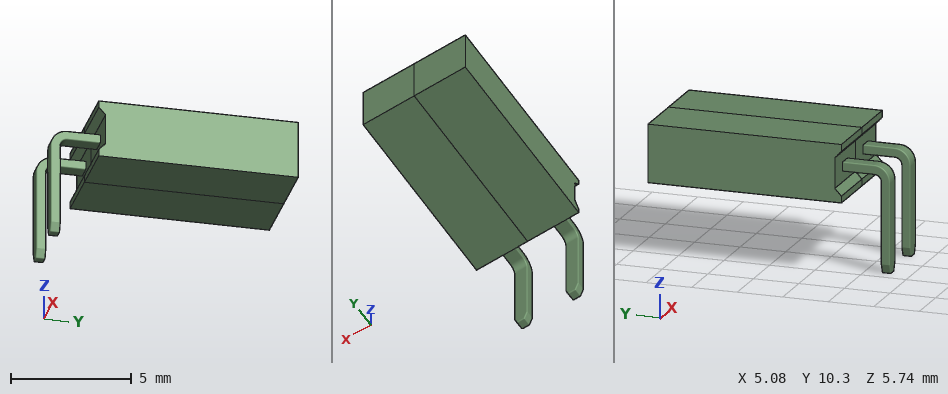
import cadquery as cq

total_width = 5.08
total_length = 10.3
total_height = 5.74

module_count = 2
module_pitch = total_width / module_count
housing_length = 8.5
housing_height = module_pitch

lip_height = 0.3
trough_depth = 0.29
trough_flank_height = 0.31

pin_width = 0.66
pin_thickness = 0.4
bend_outer_radius = 0.7
tip_width = 0.37
tip_length = 0.4
pin_edge_radius = 0.05

pin_reach = total_length - housing_length
pin_leg_y = -pin_reach + pin_thickness / 2
pin_bottom_z = housing_height / 2 - total_height
taper_top_z = pin_bottom_z + tip_length
bend_radius = bend_outer_radius - pin_thickness / 2


def make_housing():
    """Long block with a flat-bottomed, slant-sided trough across its front."""
    half_height = housing_height / 2
    trough_edge_z = half_height - lip_height
    trough_floor_z = trough_edge_z - trough_flank_height
    return (
        cq.Workplane("YZ")
        .moveTo(housing_length, -half_height)
        .lineTo(housing_length, half_height)
        .lineTo(0, half_height)
        .lineTo(0, trough_edge_z)
        .lineTo(trough_depth, trough_floor_z)
        .lineTo(trough_depth, -trough_floor_z)
        .lineTo(0, -trough_edge_z)
        .lineTo(0, -half_height)
        .close()
        .extrude(module_pitch / 2, both=True)
    )


def make_pin_shank():
    """Straight entry, bend and straight leg, swept from the trough floor to the taper."""
    path = (
        cq.Workplane("YZ")
        .moveTo(trough_depth, 0)
        .lineTo(pin_leg_y + bend_radius, 0)
        .tangentArcPoint((pin_leg_y, -bend_radius), relative=False)
        .lineTo(pin_leg_y, taper_top_z)
    )
    return (
        cq.Workplane("XZ", origin=(0, trough_depth, 0))
        .rect(pin_width, pin_thickness)
        .sweep(path)
    )


def make_pin_tip():
    """Tip that narrows in width only."""
    return (
        cq.Workplane("XY", origin=(0, pin_leg_y, taper_top_z))
        .rect(pin_width, pin_thickness)
        .workplane(offset=-tip_length)
        .rect(tip_width, pin_thickness)
        .loft(ruled=True)
    )


def make_pin():
    """Bent pin with every edge rounded except those of its root at the trough floor."""
    pin = make_pin_shank().union(make_pin_tip())
    return pin.edges("not >Y").fillet(pin_edge_radius)


def make_contact_module():
    """Housing and pin formed as one solid."""
    return make_housing().union(make_pin())


contact_module = make_contact_module().val().Solids()[0]
contact_modules = []
for index in range(module_count):
    module_x = (index - (module_count - 1) / 2) * module_pitch
    contact_modules.append(contact_module.translate(cq.Vector(module_x, 0, 0)))

result = cq.Compound.makeCompound(contact_modules)